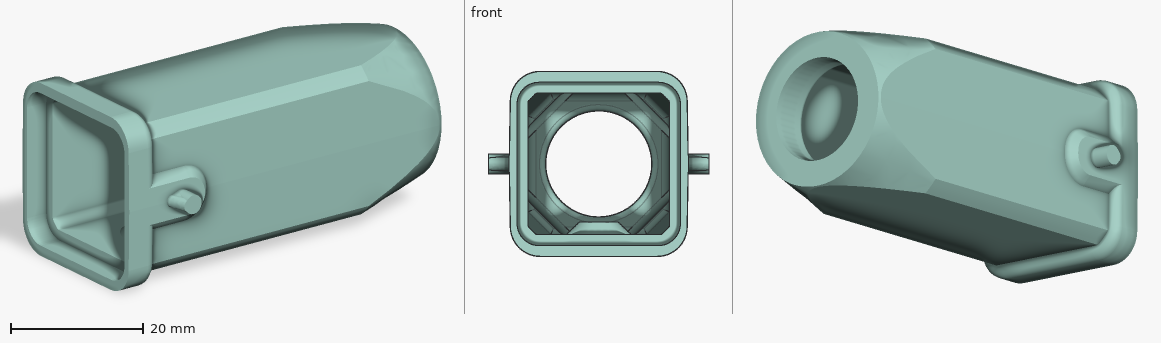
import cadquery as cq
import math

length = 60.0
body_half_width = 12.1
body_half_height = 12.09
side_draft = 1.0

corner_radius = 15.65
nose_angle = 15.0
nose_length = 13.7

collar_half_width = 13.55
collar_half_height = 28.0 / 2
collar_length = 5.15
collar_corner = 4.55
collar_fillet = 1.5
recess_size = 24.7
recess_depth = 3.6
recess_corner = 3.35

cavity_size = 21.4
cavity_corner_chamfer = 1.25
cavity_corner_round = 0.6
end_wall = 6.6
floor_radius = 1.2
groove_depth = 1.25
groove_radius = 0.95
groove_inner_distance = 11.5
groove_outer_distance = groove_inner_distance + groove_radius

bore_diameter = 16.0
bore_rim = 0.95

boss_y = 14.45
boss_base_diameter = 9.9
boss_top_diameter = 5.9
boss_height = 1.9

pad_y = 11.35
pad_flat_diameter = 5.9
pin_y = 9.8
pin_diameter = 3.05
pin_tip = 33.4 / 2
pin_tail_radius = 1.0
pin_tail_tip_y = 8.05
pin_tail_root_y = 6.95

overlap = 0.6


def along_y(start):
    """Sketch plane across the hood at the given y, local x = X and local y = Z."""
    return cq.Workplane("XZ", origin=(0, start, 0))


def drafted_prism(half_width, half_height, depth):
    """Block along Y whose two side faces are widest at the parting plane."""
    narrow = half_width - half_height * math.tan(math.radians(side_draft))
    outline = [
        (half_width, 0), (narrow, half_height), (-narrow, half_height),
        (-half_width, 0), (-narrow, -half_height), (narrow, -half_height),
    ]
    return along_y(0).polyline(outline).close().extrude(-depth)


def square_prism(size, start, end):
    return along_y(start).rect(size, size).extrude(start - end)


def make_body():
    nose_start = length - nose_length
    nose_end_radius = corner_radius - nose_length * math.tan(math.radians(nose_angle))
    turned = (
        cq.Workplane("XY")
        .polyline([(0, 0), (corner_radius, 0), (corner_radius, nose_start),
                   (nose_end_radius, length), (0, length)])
        .close()
        .revolve(360, (0, 0, 0), (0, 1, 0))
    )
    return drafted_prism(body_half_width, body_half_height, length).intersect(turned)


def make_collar():
    collar = drafted_prism(collar_half_width, collar_half_height, collar_length)
    collar = collar.edges("|Y and (>Z or <Z)").fillet(collar_corner)
    return collar.faces(">Y").edges().fillet(collar_fillet)


def diamond(start, distance):
    """Square turned by 45 degrees whose sides lie at the given distance from the axis."""
    return along_y(start).transformed(rotate=(0, 0, 45)).rect(2 * distance, 2 * distance)


def make_cavity():
    recess = square_prism(recess_size, 0, recess_depth).edges("|Y").fillet(recess_corner)
    floor_y = length - end_wall
    groove_y = floor_y + groove_depth

    open_distance = groove_outer_distance + groove_y * math.tan(math.radians(nose_angle))
    closing_walls = (
        diamond(groove_y, groove_outer_distance)
        .workplane(offset=groove_y)
        .rect(2 * open_distance, 2 * open_distance)
        .loft()
    )
    main = square_prism(cavity_size, 0, groove_y).edges("|Y").chamfer(cavity_corner_chamfer)
    main = main.edges("|Y").fillet(cavity_corner_round).intersect(closing_walls)
    main = main.faces(">Y").edges().fillet(groove_radius)

    raised_floor = (
        diamond(floor_y, groove_inner_distance)
        .extrude(-groove_depth)
        .faces("<Y")
        .edges()
        .fillet(floor_radius)
    )

    cove_start = floor_y - floor_radius
    cove_room = square_prism(cavity_size, 0, floor_y)
    coves = cove_room.cut(cove_room.faces(">Y").edges().fillet(floor_radius))
    flat_floor = diamond(cove_start, groove_inner_distance - floor_radius).extrude(-floor_radius)

    return recess.union(main.cut(raised_floor).cut(coves.intersect(flat_floor)))


def make_bore():
    floor_y = length - end_wall
    radius = bore_diameter / 2
    return (
        cq.Workplane("XY")
        .moveTo(0, floor_y)
        .lineTo(radius + bore_rim, floor_y)
        .radiusArc((radius, floor_y + bore_rim), bore_rim)
        .lineTo(radius, length)
        .lineTo(0, length)
        .close()
        .revolve(360, (0, 0, 0), (0, 1, 0))
    )


def make_boss():
    wall_z = -cavity_size / 2
    return (
        along_y(boss_y)
        .polyline([
            (0, wall_z - overlap), (boss_base_diameter / 2, wall_z - overlap),
            (boss_base_diameter / 2, wall_z),
            (boss_top_diameter / 2, wall_z + boss_height), (0, wall_z + boss_height),
        ])
        .close()
        .revolve(360, (0, 0, 0), (0, 1, 0))
    )


def make_pad():
    """Raised pad on the +X side with 45 degree flanks, running into the collar."""
    flat_radius = pad_flat_diameter / 2
    root_x = body_half_width - overlap
    root_radius = flat_radius + collar_half_width - root_x

    def section(plane, radius):
        return (
            plane.moveTo(0, -radius).lineTo(pad_y, -radius)
            .threePointArc((pad_y + radius, 0), (pad_y, radius))
            .lineTo(0, radius).close()
        )

    base = section(cq.Workplane("YZ", origin=(root_x, 0, 0)), root_radius)
    pad = section(base.workplane(offset=collar_half_width - root_x), flat_radius).loft(ruled=True)
    return pad.intersect(drafted_prism(collar_half_width, collar_half_height, length))


def make_pin():
    """Pin on the +X side with a tapering tail towards the mating end."""
    root_x = collar_half_width - overlap
    reach = pin_tip - root_x
    radius = pin_diameter / 2
    pin = cq.Workplane("YZ", origin=(root_x, pin_y, 0)).circle(radius).extrude(reach)

    taper = math.asin((radius - pin_tail_radius) / (pin_y - pin_tail_root_y - pin_tail_radius))
    flank_y = -radius * math.sin(taper)
    flank_z = radius * math.cos(taper)

    def tail_section(plane, end_y):
        centre_y = end_y + pin_tail_radius - pin_y
        return (
            plane.moveTo(flank_y, -flank_z)
            .lineTo(centre_y, -pin_tail_radius)
            .threePointArc((end_y - pin_y, 0), (centre_y, pin_tail_radius))
            .lineTo(flank_y, flank_z)
            .close()
        )

    root = tail_section(cq.Workplane("YZ", origin=(root_x, pin_y, 0)), pin_tail_root_y)
    return pin.union(tail_section(root.workplane(offset=reach), pin_tail_tip_y).loft(ruled=True))


hood = make_body().union(make_collar())
side_features = make_pad().union(make_pin())
hood = hood.union(side_features).union(side_features.mirror("YZ"))
result = hood.cut(make_cavity()).cut(make_bore()).union(make_boss())